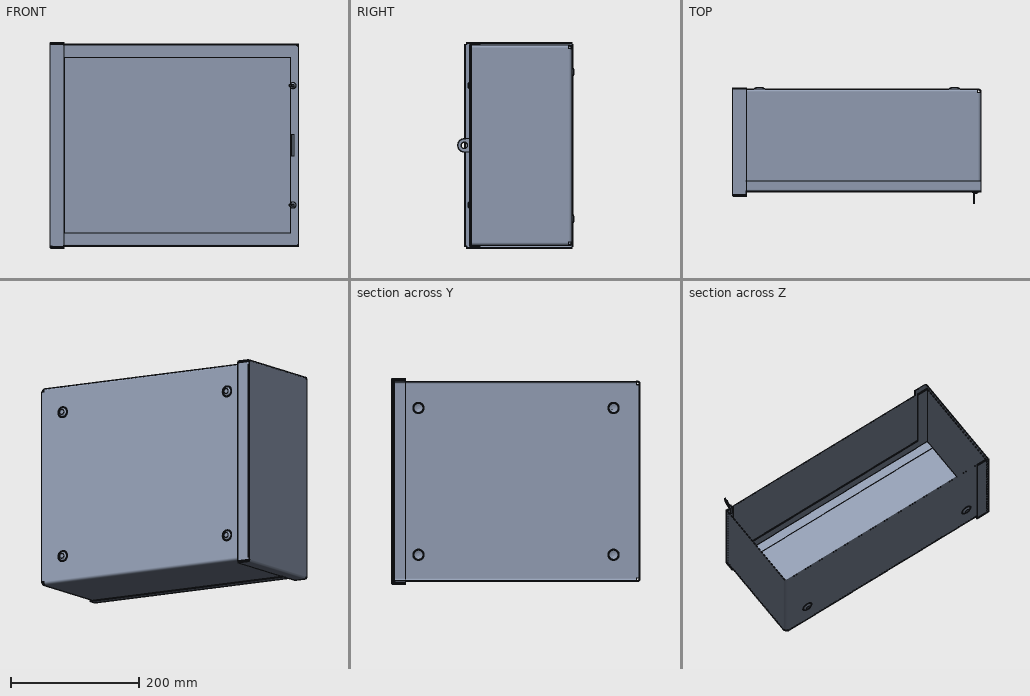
import cadquery as cq


total_length = 387.5
sheet = 1.5
small_bend = 3.0
box_bend = 4.5

hood_length = 21.5
hood_height = 320.7
hood_front = 167.5
hood_back_lap = sheet
hood_end_gap = 2.0

cover_front = 160.0
cover_height = 315.5
cover_skirt = 16.5

lip_width = 19.5
end_lip_width = 12.5

boss_base_diameter = 17.5
boss_top_diameter = 7.7
boss_height = 2.7
dome_rise = 0.6
boss_x = (42.2, 346.0)
boss_z = 114.3

relief_size = 5.5

screw_x = 378.5
screw_z = 93.0
screw_head_diameter = 9.5
screw_head_height = 2.7
screw_socket_diameter = 3.75
screw_socket_depth = 1.5
screw_shank_diameter = 3.18
screw_slot_overhang = 1.0

hasp_x = 375.7
hasp_thickness = 1.5
hasp_foot_height = 31.8
hasp_eye_diameter = 21.0
hasp_hole_diameter = 9.5
hasp_eye_y = 167.7
hasp_slot_width = 4.5
hasp_slot_height = 33.5

box_start = sheet + hood_end_gap
box_front = cover_front - sheet
box_height = cover_height - 2 * sheet


def block(x_min, x_max, front, back, height):
    """Block centred on Z = 0, between two depths measured ahead of the box back."""
    return (
        cq.Workplane("XY")
        .box(x_max - x_min, front - back, height, centered=(False, False, True))
        .translate((x_min, -front, 0))
    )


def front_cylinder(x, z, front, back, diameter):
    """Cylinder along Y, between two depths measured ahead of the box back."""
    return (
        cq.Workplane("XZ", origin=(x, -back, z))
        .circle(diameter / 2)
        .extrude(front - back)
    )


def make_hood():
    """End cap whose flanges wrap over the box and the cover."""
    outer = block(0, hood_length, hood_front, -hood_back_lap, hood_height)
    outer = outer.edges("<X and (not >Y)").fillet(small_bend)
    cavity = block(sheet, hood_length, hood_front - sheet, 0, hood_height - 2 * sheet)
    cavity = cavity.edges("<X and (not >Y)").fillet(small_bend - sheet)
    hood = outer.cut(cavity)

    seam_z = hood_height / 2 - small_bend / 2
    for z in (-seam_z, seam_z):
        front_seam = block(0, hood_length, hood_front, hood_front - small_bend, small_bend)
        back_seam = block(0, hood_length, 0, -hood_back_lap, small_bend)
        hood = hood.cut(front_seam.translate((0, 0, z))).cut(back_seam.translate((0, 0, z)))
    return hood


def make_boss(x, z):
    """Hollow domed mounting boss pressed out of the back wall."""
    base = boss_base_diameter / 2
    top = boss_top_diameter / 2
    inner_base = base - sheet
    inner_top = top - sheet
    inner_height = boss_height - sheet
    return (
        cq.Workplane("XY")
        .moveTo(inner_base, 0)
        .lineTo(base, 0)
        .threePointArc(((base + top) / 2, dome_rise * boss_height), (top, boss_height))
        .lineTo(0, boss_height)
        .lineTo(0, inner_height)
        .lineTo(inner_top, inner_height)
        .threePointArc(((inner_base + inner_top) / 2, dome_rise * inner_height), (inner_base, 0))
        .close()
        .revolve(360, (0, 0, 0), (0, 1, 0))
        .translate((x, 0, z))
    )


def round_box_bends(body, radius):
    """Round the back edges and the edges of the +X wall, except at the opening."""
    return body.edges("(>Y or >X) and (not <Y) and (not <X)").fillet(radius)


def make_box():
    """Open-fronted box with a return lip, back bosses and bend reliefs."""
    inner_end = total_length - sheet
    box = round_box_bends(block(box_start, total_length, box_front, 0, box_height), box_bend)
    cavity = block(box_start + sheet, inner_end, box_front - sheet, sheet, box_height - 2 * sheet)
    box = box.cut(round_box_bends(cavity, box_bend - sheet))

    opening = block(
        box_start + lip_width, total_length - end_lip_width,
        box_front, box_front - sheet, box_height - 2 * lip_width,
    )
    box = box.cut(opening)

    for x in boss_x:
        for z in (-boss_z, boss_z):
            boss_opening = front_cylinder(x, z, sheet, 0, boss_base_diameter - 2 * sheet)
            box = box.cut(boss_opening).union(make_boss(x, z))

    for side in (-1, 1):
        relief = block(total_length - relief_size, total_length, relief_size, 0, relief_size)
        box = box.cut(relief.translate((0, 0, side * (box_height - relief_size) / 2)))

    for z in (-screw_z, screw_z):
        box = box.cut(front_cylinder(screw_x, z, box_front, box_front - sheet, screw_shank_diameter))
    return box


def make_cover():
    """Sliding channel cover with top and bottom skirts, screw slots and a hasp slot."""
    cover = block(box_start, total_length, cover_front, cover_front - cover_skirt, cover_height)
    cover = cover.edges("<Y and |X").fillet(small_bend)
    channel = block(box_start, total_length, box_front, box_front - cover_skirt, box_height)
    cover = cover.cut(channel)

    slot_length = (screw_head_diameter + screw_shank_diameter) / 2 + screw_slot_overhang
    slot_x = screw_x - (slot_length - screw_shank_diameter) / 2
    for z in (-screw_z, screw_z):
        screw_slot = (
            cq.Workplane("XZ", origin=(slot_x, -box_front, z))
            .slot2D(slot_length, screw_shank_diameter)
            .extrude(sheet)
        )
        cover = cover.cut(screw_slot)

    hasp_slot = block(hasp_x, hasp_x + hasp_slot_width, cover_front, box_front, hasp_slot_height)
    return cover.cut(hasp_slot)


def make_screw(z):
    """Domed socket-head screw through the cover and the box lip."""
    head_top = cover_front + screw_head_height
    shank = front_cylinder(screw_x, z, cover_front, box_front - sheet, screw_shank_diameter)
    rim_radius = screw_head_diameter / 2
    dome_radius = (rim_radius**2 + screw_head_height**2) / (2 * screw_head_height)
    dome = cq.Workplane("XY").sphere(dome_radius).translate((screw_x, dome_radius - head_top, z))
    head = front_cylinder(screw_x, z, head_top, cover_front, screw_head_diameter).intersect(dome)
    socket = front_cylinder(screw_x, z, head_top, head_top - screw_socket_depth, screw_socket_diameter)
    return shank.union(head).cut(socket)


def make_hasp():
    """Padlock eye standing on the box lip and passing through the cover."""
    hasp_end = hasp_x + hasp_thickness
    foot = block(hasp_x, hasp_end, cover_front, box_front, hasp_foot_height)
    neck = block(hasp_x, hasp_end, hasp_eye_y, box_front, hasp_eye_diameter)
    eye_plane = cq.Workplane("YZ", origin=(hasp_x, -hasp_eye_y, 0))
    eye = eye_plane.circle(hasp_eye_diameter / 2).extrude(hasp_thickness)
    hole = eye_plane.circle(hasp_hole_diameter / 2).extrude(hasp_thickness)

    eye_tip = hasp_eye_y + hasp_eye_diameter / 2
    eye = eye.intersect(block(hasp_x, hasp_end, eye_tip, box_front, hasp_eye_diameter))
    return foot.union(neck).union(eye).cut(hole)


hood = make_hood()
box = make_box()
cover = make_cover()
hasp = make_hasp()
screws = [make_screw(z) for z in (-screw_z, screw_z)]

result = cq.Compound.makeCompound(
    [hood.val(), box.val(), cover.val(), hasp.val()] + [screw.val() for screw in screws]
)